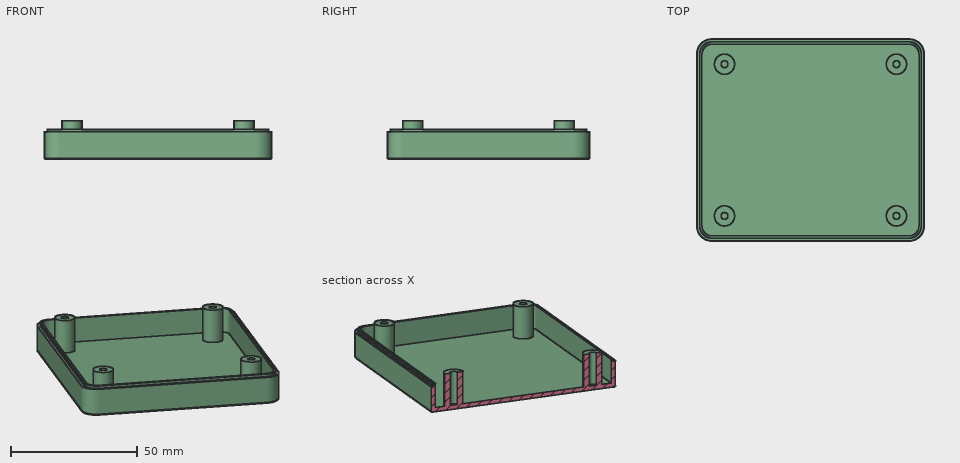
import cadquery as cq

length = 90.0
width = 80.0
corner_radius = 6.0
shoulder_height = 10.9
bottom_chamfer = 0.5

floor_thickness = 2.0
wall_thickness = 2.1
shoulder_width = 1.2
lip_height = 1.0
rim_height = shoulder_height + lip_height

post_diameter = 8.0
post_hole_diameter = 2.7
post_top = 15.4
post_spacing_x = 68.0
post_spacing_y = 60.0


def rounded_block(inset, bottom, top):
    """Block inset from the tray outline, with corners concentric to the tray's."""
    return (
        cq.Workplane("XY", origin=(0, 0, bottom))
        .rect(length - 2 * inset, width - 2 * inset)
        .extrude(top - bottom)
        .edges("|Z")
        .fillet(corner_radius - inset)
    )


def post_cylinders(diameter):
    """Four cylinders standing on the floor at the post positions."""
    return (
        cq.Workplane("XY", origin=(0, 0, floor_thickness))
        .rect(post_spacing_x, post_spacing_y, forConstruction=True)
        .vertices()
        .circle(diameter / 2)
        .extrude(post_top - floor_thickness)
    )


body = rounded_block(0, 0, shoulder_height).faces("<Z").edges().chamfer(bottom_chamfer)
lip = rounded_block(shoulder_width, floor_thickness, rim_height)
cavity = rounded_block(wall_thickness, floor_thickness, rim_height)
tray = body.union(lip).cut(cavity)

result = tray.union(post_cylinders(post_diameter)).cut(post_cylinders(post_hole_diameter))